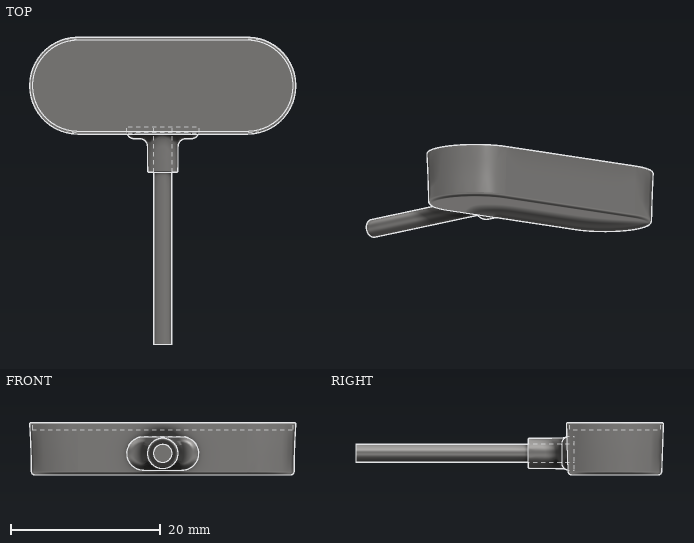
import cadquery as cq

housing_width = 13.0
end_spacing = 22.6
housing_length = end_spacing + housing_width
housing_height = 7.0
draft_angle = 2.0
bottom_fillet = 0.5
rim_fillet = 0.2

rim_width = 0.4
lid_thickness = 1.0

relief_height = 2.9
pad_end_spacing = 5.1
pad_width = 4.55
pad_face_y = -7.1
pad_back_y = -5.5
pad_fillet = 1.0
sleeve_root_radius = 2.1
sleeve_tip_radius = 2.03
sleeve_tip_y = -11.6
sleeve_root_fillet = 1.0
sleeve_tip_fillet = 0.2
root_margin = 0.2

cable_radius = 1.22
overall_depth = 41.1
cable_end_y = housing_width / 2 - overall_depth


def plane_facing_front(y):
    """Plane at the given Y, centred on the cable axis, with its normal along -Y."""
    return cq.Workplane("XZ", origin=(0, y, relief_height))


def make_lid():
    recess_floor = housing_height - lid_thickness
    return (
        cq.Workplane("XY", origin=(0, 0, recess_floor))
        .slot2D(housing_length - 2 * rim_width, housing_width - 2 * rim_width)
        .extrude(lid_thickness)
    )


def make_cable():
    return plane_facing_front(pad_back_y).circle(cable_radius).extrude(pad_back_y - cable_end_y)


def make_relief_blank():
    """Pad and sleeve as one piece, before the cable bore."""
    pad = (
        plane_facing_front(pad_back_y)
        .slot2D(pad_end_spacing + pad_width, pad_width)
        .extrude(pad_back_y - pad_face_y)
        .faces("<Y")
        .edges()
        .fillet(pad_fillet)
    )
    sleeve = (
        plane_facing_front(pad_back_y)
        .circle(sleeve_root_radius)
        .workplane(offset=pad_back_y - sleeve_tip_y)
        .circle(sleeve_tip_radius)
        .loft()
        .faces("<Y")
        .edges()
        .fillet(sleeve_tip_fillet)
    )
    root_reach = sleeve_root_radius + root_margin
    root_edges = cq.selectors.BoxSelector(
        (-root_reach, pad_face_y - root_margin, relief_height - root_reach),
        (root_reach, pad_back_y - root_margin, relief_height + root_reach),
        boundingbox=True,
    )
    return pad.union(sleeve).edges(root_edges).fillet(sleeve_root_fillet)


def make_housing(lid, relief_blank):
    blank = (
        cq.Workplane("XY", origin=(0, 0, housing_height))
        .slot2D(housing_length, housing_width)
        .extrude(-housing_height, taper=draft_angle)
        .faces("<Z")
        .edges()
        .fillet(bottom_fillet)
        .faces(">Z")
        .edges()
        .fillet(rim_fillet)
    )
    return blank.cut(lid).cut(relief_blank)


lid = make_lid()
cable = make_cable()
relief_blank = make_relief_blank()
relief = relief_blank.cut(cable)
housing = make_housing(lid, relief_blank)

result = cq.Compound.makeCompound([housing.val(), lid.val(), relief.val(), cable.val()])